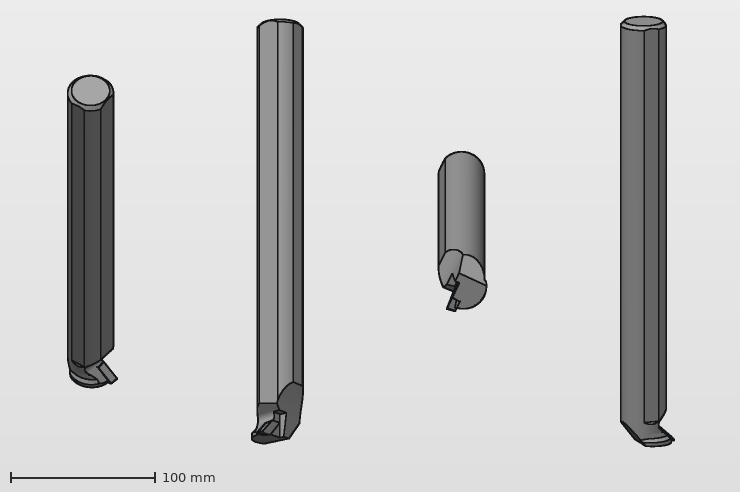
import cadquery as cq
import math

length = 301.2
shank_radius = 16.0

side_flat_offset = 15.0
back_flat_offset = 14.0
flat_bottom = 18.5
flat_runout = 1.5
chamfer_width = 2.7
chamfer_height = 2.7

flare_centres = (
    (0, 0, 10.0),
    (1.5, -0.3, 6.5),
    (2.5, -2.7, 4.2),
    (2.5, -2.7, 0),
)

relief_start_z = 16.5
relief_end_x = -4.8
relief_end_z = 1.8
tip_x = 22.0
bottom_end_z = 0.5

gullet_top_z = 38.3
gullet_mid = (9.5, 29.0)
gullet_end = (6.0, 15.5)
rake_bottom_y = 4.0

notch_radius = 4.8
notch_x = 13.0
notch_z = 15.7
notch_angle = 45.0
notch_turn = -10.0
wall_run = 24.0

insert_face_y = 1.0
insert_thickness = 6.0
insert_upper_run = 11.5
insert_upper_rise = 11.7
insert_bottom_run = 9.0
insert_bottom_rise = 0.5
insert_nose = 1.2
insert_draft = 7.0

far = 60.2


def flat_cut(normal_angle, offset):
    """Block that leaves a flat facing the given direction around Z."""
    block = (
        cq.Workplane("XZ")
        .moveTo(offset, flat_bottom)
        .lineTo(shank_radius, flat_bottom - flat_runout)
        .lineTo(far, flat_bottom - flat_runout)
        .lineTo(far, length)
        .lineTo(offset, length)
        .close()
        .extrude(far, both=True)
    )
    return block.rotate((0, 0, 0), (0, 0, 1), normal_angle)


def make_shank():
    shank = cq.Workplane("XY").circle(shank_radius).extrude(length)
    shank = shank.faces(">Z").chamfer(chamfer_height, chamfer_width)
    for angle, offset in ((-90, side_flat_offset), (90, side_flat_offset), (0, back_flat_offset)):
        shank = shank.cut(flat_cut(angle, offset))
    return shank


def slanted_cylinder(upper, lower):
    """Cylinder of the shank size with level ends at two given centres."""
    top = cq.Wire.makeCircle(shank_radius, cq.Vector(*upper), cq.Vector(0, 0, 1))
    bottom = cq.Wire.makeCircle(shank_radius, cq.Vector(*lower), cq.Vector(0, 0, 1))
    return cq.Workplane(cq.Solid.makeLoft([bottom, top], True))


def make_head():
    head = cq.Workplane("XY")
    for upper, lower in zip(flare_centres, flare_centres[1:]):
        head = head.add(slanted_cylinder(upper, lower))
    return head.combine()


def relief_cut():
    """Removes the sloping -X corner and the nearly level underside."""
    return (
        cq.Workplane("XZ")
        .moveTo(-shank_radius, relief_start_z)
        .lineTo(relief_end_x, relief_end_z)
        .lineTo(tip_x, bottom_end_z)
        .lineTo(tip_x, -far)
        .lineTo(-far, -far)
        .lineTo(-far, relief_start_z)
        .close()
        .extrude(far, both=True)
    )


def gullet_cut():
    """Curved scoop on the +Y side that runs down into the rake face."""
    return (
        cq.Workplane("YZ")
        .moveTo(side_flat_offset, gullet_top_z)
        .threePointArc(gullet_mid, gullet_end)
        .lineTo(rake_bottom_y, 0)
        .lineTo(far, 0)
        .lineTo(far, gullet_top_z)
        .close()
        .extrude(far, both=True)
    )


def notch_cut():
    """V notch with a rounded root, opening toward +X."""
    slope = math.radians(notch_angle)
    root_x = -notch_radius * math.sin(slope)
    root_z = notch_radius * math.cos(slope)
    wall_x = root_x + wall_run * math.cos(slope)
    wall_z = root_z + wall_run * math.sin(slope)
    notch = (
        cq.Workplane("XZ")
        .moveTo(wall_x, wall_z)
        .lineTo(root_x, root_z)
        .threePointArc((-notch_radius, 0), (root_x, -root_z))
        .lineTo(wall_x, -wall_z)
        .close()
        .extrude(far, both=True)
    )
    return notch.rotate((0, 0, 0), (0, 0, 1), notch_turn).translate((notch_x, 0, notch_z))


def make_insert():
    """Four-sided insert whose lowest corner is the cutting tip."""
    upper = (-insert_upper_run, insert_upper_rise)
    lower = (-insert_bottom_run, insert_bottom_rise)
    return (
        cq.Workplane("XZ", origin=(tip_x, insert_face_y, 0))
        .moveTo(0, insert_nose)
        .lineTo(*upper)
        .lineTo(upper[0] + lower[0], upper[1] + lower[1])
        .lineTo(*lower)
        .lineTo(-insert_nose, 0)
        .close()
        .extrude(insert_thickness, taper=insert_draft)
    )


def insert_clearance():
    """Open space above the insert face."""
    return (
        cq.Workplane("XY")
        .box(far, far, flat_bottom, centered=False)
        .translate((tip_x - insert_upper_run - insert_bottom_run, insert_face_y, 0))
    )


insert = make_insert()
holder = make_shank().union(make_head())
for cutter in (relief_cut(), gullet_cut(), notch_cut(), insert_clearance(), insert):
    holder = holder.cut(cutter)

result = cq.Compound.makeCompound([holder.val(), insert.val()])